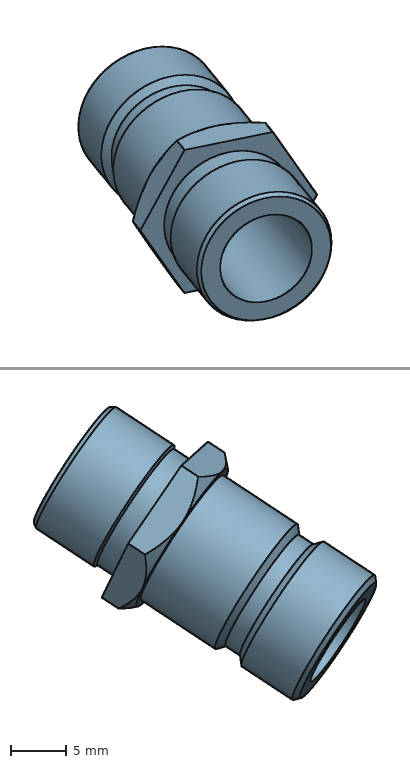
import cadquery as cq
import math

total_length = 29.0
bore_diameter = 9.0

plug_diameter = 13.57
plug_chamfer_length = 0.45
plug_chamfer_depth = 0.52
groove_diameter = 12.12
groove_start = 6.67
groove_end = 8.26
groove_flank_length = 0.65

hex_across_flats = 15.0
hex_start = 17.02
hex_thickness = 3.0
hex_chamfer_angle = 45.0

thread_diameter = 13.2
undercut_diameter = 12.65
undercut_length = 2.05
undercut_flank_length = 0.2
thread_chamfer_length = 0.44
thread_chamfer_depth = 0.25

hex_end = hex_start + hex_thickness
hex_across_corners = hex_across_flats / math.cos(math.radians(30))


def turned_body():
    """Outer shape without the hexagon, revolved about the X axis."""
    plug_radius = plug_diameter / 2
    groove_radius = groove_diameter / 2
    undercut_radius = undercut_diameter / 2
    thread_radius = thread_diameter / 2
    undercut_end = hex_end + undercut_length
    profile = [
        (0, 0),
        (0, plug_radius - plug_chamfer_depth),
        (plug_chamfer_length, plug_radius),
        (groove_start - groove_flank_length, plug_radius),
        (groove_start, groove_radius),
        (groove_end, groove_radius),
        (groove_end + groove_flank_length, plug_radius),
        (hex_end, plug_radius),
        (hex_end, undercut_radius),
        (undercut_end, undercut_radius),
        (undercut_end + undercut_flank_length, thread_radius),
        (total_length - thread_chamfer_length, thread_radius),
        (total_length, thread_radius - thread_chamfer_depth),
        (total_length, 0),
    ]
    return cq.Workplane("XY").polyline(profile).close().revolve(360, (0, 0, 0), (1, 0, 0))


def hexagon():
    """Hexagon with corners on the Y axis, its plug-side corners turned to a cone."""
    prism = (
        cq.Workplane("YZ")
        .workplane(offset=hex_start)
        .polygon(6, hex_across_corners)
        .extrude(hex_thickness)
    )
    flat_radius = hex_across_flats / 2
    corner_radius = hex_across_corners / 2
    cone_length = (corner_radius - flat_radius) * math.tan(math.radians(hex_chamfer_angle))
    envelope_profile = [
        (hex_start, 0),
        (hex_start, flat_radius),
        (hex_start + cone_length, corner_radius),
        (hex_end, corner_radius),
        (hex_end, 0),
    ]
    envelope = cq.Workplane("XY").polyline(envelope_profile).close().revolve(360, (0, 0, 0), (1, 0, 0))
    return prism.intersect(envelope)


bore = cq.Workplane("YZ").circle(bore_diameter / 2).extrude(total_length)

result = turned_body().union(hexagon()).cut(bore)